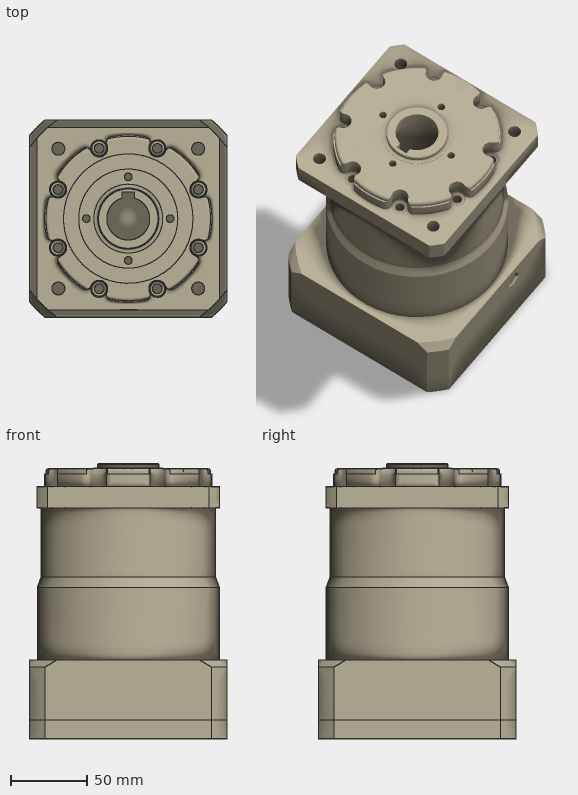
import cadquery as cq
import math

BASE_SIDE = 130.0
BASE_CORNER_RADIUS = 84.9
BASE_TOP_CORNER_RADIUS = 80.0
PLATE_TOP = 12.5
BASE_CORNER_CONE_BOTTOM = 47.0
BASE_TOP = 52.0

LOWER_RADIUS = 60.0
CONE_BOTTOM = 99.4
CONE_TOP = 106.2
UPPER_RADIUS = 57.4

FLANGE_BOTTOM = 151.9
FLANGE_TOP = 165.8
FLANGE_SIDE = 120.0
FLANGE_CORNER_RADIUS = 80.0
MOUNT_HOLE_COUNT = 4
MOUNT_HOLE_CIRCLE_RADIUS = 65.0
MOUNT_HOLE_DIAMETER = 8.5

LOBE_COUNT = 8
LOBE_RADIUS = 55.0
LOBE_NECK_RADIUS = 54.1
LOBE_TOP_FILLET = 1.8
LOBE_NECK_BOTTOM = 174.1
FACE_HEIGHT = 177.5
NOTCH_CIRCLE_RADIUS = 50.0
NOTCH_RADIUS = 5.6
NOTCH_LIP_RADIUS = 4.0
NOTCH_OVERCUT = 1.8
SCREW_RECESS_RADIUS = 5.6
SCREW_RECESS_FLOOR_RADIUS = 4.9
SCREW_RECESS_DEPTH = 0.7
SCREW_HOLE_DIAMETER = 6.3
SCREW_HOLE_DEPTH = 9.0

SEAL_OUTER_RADIUS = 42.5
SEAL_DEPTH = 10.0

SHAFT_RADIUS = 32.5
SHAFT_BOTTOM = 124.9
COLLAR_RADIUS = 22.6
COLLAR_HEIGHT = 0.4
HUB_RADIUS = 20.1
HUB_TOP = 181.0
HUB_CHAMFER = 0.5
BORE_RADIUS = 14.1
BORE_DEPTH = 45.2
KEYWAY_WIDTH = 8.0
KEYWAY_REACH = 17.5
SHAFT_HOLE_COUNT = 4
SHAFT_HOLE_CIRCLE_RADIUS = 27.5
SHAFT_HOLE_DIAMETER = 5.0
SHAFT_HOLE_DEPTH = 10.0

PLUG_Y = -18.1
PLUG_Z = 41.5
PLUG_RADIUS = 8.1
PLUG_LENGTH = 10.0
SOCKET_ACROSS_FLATS = 10.1
SOCKET_DEPTH = 5.5


def cylinder(radius, bottom, top):
    """Upright cylinder on the gearbox axis."""
    return cq.Workplane("XY", origin=(0, 0, bottom)).circle(radius).extrude(top - bottom)


def turned(profile):
    """Body turned about Z from (radius, height) points."""
    return cq.Workplane("XZ").polyline(profile).close().revolve(360, (0, 0), (0, 1))


def square_block(side, bottom, top):
    """Upright square block centred on the gearbox axis."""
    return cq.Workplane("XY", origin=(0, 0, bottom)).rect(side, side).extrude(top - bottom)


def polar(radius, degrees):
    """Point at a radius and an angle about the gearbox axis."""
    angle = math.radians(degrees)
    return (radius * math.cos(angle), radius * math.sin(angle))


def make_adapter_plate():
    corners = cylinder(BASE_CORNER_RADIUS, 0, PLATE_TOP)
    return square_block(BASE_SIDE, 0, PLATE_TOP).intersect(corners)


def make_base():
    """Square base with turned corners that are coned off at the top."""
    corners = turned([
        (0, PLATE_TOP),
        (BASE_CORNER_RADIUS, PLATE_TOP),
        (BASE_CORNER_RADIUS, BASE_CORNER_CONE_BOTTOM),
        (BASE_TOP_CORNER_RADIUS, BASE_TOP),
        (0, BASE_TOP),
    ])
    return square_block(BASE_SIDE, PLATE_TOP, BASE_TOP).intersect(corners)


def make_barrel():
    return turned([
        (0, BASE_TOP),
        (LOWER_RADIUS, BASE_TOP),
        (LOWER_RADIUS, CONE_BOTTOM),
        (UPPER_RADIUS, CONE_TOP),
        (UPPER_RADIUS, FLANGE_BOTTOM),
        (0, FLANGE_BOTTOM),
    ])


def make_flange():
    corners = cylinder(FLANGE_CORNER_RADIUS, FLANGE_BOTTOM, FLANGE_TOP)
    return square_block(FLANGE_SIDE, FLANGE_BOTTOM, FLANGE_TOP).intersect(corners)


def notch_angles():
    """Angles of the notches, midway between the lobes."""
    return [(i + 0.5) * 360 / LOBE_COUNT for i in range(LOBE_COUNT)]


def make_notch(degrees):
    """Round screw notch whose mouth flares out through two rounded lips."""
    lip_centre_radius = LOBE_RADIUS - NOTCH_LIP_RADIUS
    lip_spacing = NOTCH_RADIUS + NOTCH_LIP_RADIUS
    lip_angle = math.degrees(math.acos(
        (lip_centre_radius**2 + NOTCH_CIRCLE_RADIUS**2 - lip_spacing**2)
        / (2 * lip_centre_radius * NOTCH_CIRCLE_RADIUS)
    ))
    lip_x, lip_y = polar(lip_centre_radius, lip_angle)
    share = NOTCH_RADIUS / lip_spacing
    touch_x = NOTCH_CIRCLE_RADIUS + share * (lip_x - NOTCH_CIRCLE_RADIUS)
    touch_y = share * lip_y
    mouth_x, mouth_y = polar(LOBE_RADIUS, lip_angle)
    middle_x, middle_y = (touch_x + mouth_x) / 2 - lip_x, (touch_y + mouth_y) / 2 - lip_y
    stretch = NOTCH_LIP_RADIUS / math.hypot(middle_x, middle_y)
    bulge_x, bulge_y = lip_x + stretch * middle_x, lip_y + stretch * middle_y
    beyond_x = LOBE_RADIUS + NOTCH_OVERCUT
    return (
        cq.Workplane("XY", origin=(0, 0, FLANGE_TOP))
        .moveTo(touch_x, touch_y)
        .threePointArc((NOTCH_CIRCLE_RADIUS - NOTCH_RADIUS, 0), (touch_x, -touch_y))
        .threePointArc((bulge_x, -bulge_y), (mouth_x, -mouth_y))
        .lineTo(beyond_x, -mouth_y)
        .lineTo(beyond_x, mouth_y)
        .lineTo(mouth_x, mouth_y)
        .threePointArc((bulge_x, bulge_y), (touch_x, touch_y))
        .close()
        .extrude(FACE_HEIGHT - FLANGE_TOP)
        .rotate((0, 0, 0), (0, 0, 1), degrees)
    )


def make_pilot_blank():
    """Pilot disc with a slightly narrower, rounded top."""
    disc = cylinder(LOBE_RADIUS, FLANGE_TOP, LOBE_NECK_BOTTOM)
    neck = cylinder(LOBE_NECK_RADIUS, LOBE_NECK_BOTTOM, FACE_HEIGHT)
    return disc.union(neck.faces(">Z").edges().fillet(LOBE_TOP_FILLET))


def make_pilot():
    pilot = make_pilot_blank()
    for angle in notch_angles():
        pilot = pilot.cut(make_notch(angle))
    return pilot


def make_screw_recess(x, y):
    """Shallow recess in the flange that tapers down to a flat floor around the screw hole."""
    return cq.Workplane(cq.Solid.makeCone(
        SCREW_RECESS_RADIUS,
        SCREW_RECESS_FLOOR_RADIUS,
        SCREW_RECESS_DEPTH,
        pnt=cq.Vector(x, y, FLANGE_TOP),
        dir=cq.Vector(0, 0, -1),
    ))


def make_housing():
    housing = make_base().union(make_barrel()).union(make_flange()).union(make_pilot())

    flange_face = cq.Workplane("XY", origin=(0, 0, FLANGE_TOP))
    mount_points = [
        polar(MOUNT_HOLE_CIRCLE_RADIUS, (i + 0.5) * 360 / MOUNT_HOLE_COUNT) for i in range(MOUNT_HOLE_COUNT)
    ]
    thickness = FLANGE_TOP - FLANGE_BOTTOM
    mount_holes = flange_face.pushPoints(mount_points).circle(MOUNT_HOLE_DIAMETER / 2).extrude(-thickness)

    screw_points = [polar(NOTCH_CIRCLE_RADIUS, angle) for angle in notch_angles()]
    screws = flange_face.pushPoints(screw_points)
    screw_holes = screws.circle(SCREW_HOLE_DIAMETER / 2).extrude(-SCREW_HOLE_DEPTH)
    housing = housing.cut(mount_holes).cut(screw_holes)
    for x, y in screw_points:
        housing = housing.cut(make_screw_recess(x, y))

    seal_seat = cylinder(SEAL_OUTER_RADIUS, FACE_HEIGHT - SEAL_DEPTH, FACE_HEIGHT)
    shaft_seat = cylinder(SHAFT_RADIUS, SHAFT_BOTTOM, FACE_HEIGHT)
    return housing.cut(seal_seat).cut(shaft_seat).cut(plug_blank())


def make_seal():
    bottom = FACE_HEIGHT - SEAL_DEPTH
    return cylinder(SEAL_OUTER_RADIUS, bottom, FACE_HEIGHT).cut(cylinder(SHAFT_RADIUS, bottom, FACE_HEIGHT))


def make_shaft():
    collar_top = FACE_HEIGHT + COLLAR_HEIGHT
    shaft = cylinder(SHAFT_RADIUS, SHAFT_BOTTOM, FACE_HEIGHT)
    shaft = shaft.union(cylinder(COLLAR_RADIUS, FACE_HEIGHT, collar_top))
    shaft = shaft.union(cylinder(HUB_RADIUS, collar_top, HUB_TOP).faces(">Z").chamfer(HUB_CHAMFER))

    bore_bottom = HUB_TOP - BORE_DEPTH
    bore = cylinder(BORE_RADIUS, bore_bottom, HUB_TOP)
    keyway = (
        cq.Workplane("XY", origin=(0, KEYWAY_REACH / 2, bore_bottom))
        .rect(KEYWAY_WIDTH, KEYWAY_REACH)
        .extrude(BORE_DEPTH)
    )
    holes = (
        cq.Workplane("XY", origin=(0, 0, FACE_HEIGHT))
        .polarArray(SHAFT_HOLE_CIRCLE_RADIUS, 0, 360, SHAFT_HOLE_COUNT)
        .circle(SHAFT_HOLE_DIAMETER / 2)
        .extrude(-SHAFT_HOLE_DEPTH)
    )
    return shaft.cut(bore).cut(keyway).cut(holes)


def plug_plane():
    """Plane on the -X side of the base at the plug, facing into the housing."""
    return cq.Workplane("YZ", origin=(-BASE_SIDE / 2, PLUG_Y, PLUG_Z))


def plug_blank():
    return plug_plane().circle(PLUG_RADIUS).extrude(PLUG_LENGTH)


def make_plug():
    across_corners = SOCKET_ACROSS_FLATS / math.cos(math.pi / 6)
    socket = (
        plug_plane().transformed(rotate=(0, 0, 90)).polygon(6, across_corners).extrude(SOCKET_DEPTH)
    )
    return plug_blank().cut(socket)


adapter_plate = make_adapter_plate()
housing = make_housing()
seal = make_seal()
shaft = make_shaft()
plug = make_plug()

result = cq.Compound.makeCompound([
    adapter_plate.val(),
    housing.val(),
    seal.val(),
    shaft.val(),
    plug.val(),
])